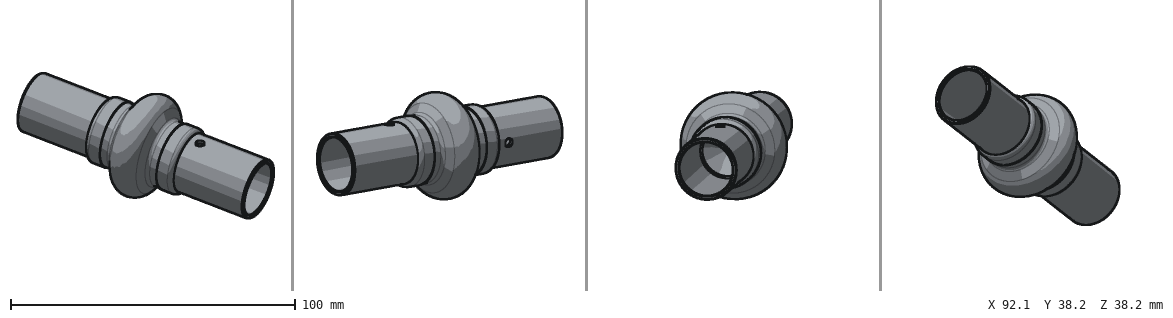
import cadquery as cq
import math

length = 92.1
bulb_radius = 19.1

tube_radius = 11.05
bore_radius = 9.6
bevel_height = 0.3
bevel_length = 0.5
drain_radius = 1.6
drain_distance = 22.2

collar_radius = 12.4
collar_start = 11.5
collar_end = 18.0
collar_round = 1.9

neck_radius = 12.2
crown_round = 6.35
crown_half_width = 5.4
neck_blend = 1.7
recess_radius = 8.75
recess_slope = math.radians(30)


def mirrored(point):
    """Reflect an outline point from the +X side to the -X side."""
    return (-point[0], point[1])


def revolved(outline):
    """Close an outline and revolve it about the X axis."""
    return outline.close().revolve(360, (0, 0, 0), (1, 0, 0))


def make_bulb():
    """Round bulb with a short neck on each side and a conical recess in each end."""
    tilt = math.asin(crown_half_width / crown_round)
    crown_top = (0, bulb_radius)
    crown_edge = (crown_half_width, bulb_radius - crown_round * (1 - math.cos(tilt)))
    cone_end_radius = neck_radius + neck_blend * (1 - math.cos(tilt))
    cone_end_x = crown_half_width + (crown_edge[1] - cone_end_radius) / math.tan(tilt)
    cone_end = (cone_end_x, cone_end_radius)
    neck_start = (cone_end_x + neck_blend * math.sin(tilt), neck_radius)
    blend_middle = (
        neck_start[0] - neck_blend * math.sin(tilt / 2),
        neck_radius + neck_blend * (1 - math.cos(tilt / 2)),
    )
    recess_tip_x = collar_start - recess_radius * math.tan(recess_slope)

    outline = (
        cq.Workplane("XY")
        .moveTo(-recess_tip_x, 0)
        .lineTo(-collar_start, recess_radius)
        .lineTo(-collar_start, neck_radius)
        .lineTo(*mirrored(neck_start))
        .threePointArc(mirrored(blend_middle), mirrored(cone_end))
        .lineTo(*mirrored(crown_edge))
        .threePointArc(crown_top, crown_edge)
        .lineTo(*cone_end)
        .threePointArc(blend_middle, neck_start)
        .lineTo(collar_start, neck_radius)
        .lineTo(collar_start, recess_radius)
        .lineTo(recess_tip_x, 0)
    )
    return revolved(outline)


def make_tube():
    """Tube on the +X side, bevelled inside and outside at its rim, with a drain hole on +Z."""
    rim_x = length / 2
    outline = (
        cq.Workplane("XY")
        .moveTo(collar_start, bore_radius)
        .lineTo(collar_start, tube_radius)
        .lineTo(rim_x - bevel_length, tube_radius)
        .lineTo(rim_x, tube_radius - bevel_height)
        .lineTo(rim_x, bore_radius + bevel_height)
        .lineTo(rim_x - bevel_length, bore_radius)
    )
    drain = (
        cq.Workplane("XY", origin=(drain_distance, 0, 0))
        .circle(drain_radius)
        .extrude(collar_radius)
    )
    return revolved(outline).cut(drain)


def make_collar():
    """Ring around the inner end of the +X tube, rounded on its outer edge."""
    collar_length = collar_end - collar_start
    base = cq.Workplane("YZ", origin=(collar_start, 0, 0))
    tube_opening = base.circle(tube_radius).extrude(collar_length)
    return (
        base.circle(collar_radius)
        .extrude(collar_length)
        .faces(">X")
        .edges()
        .fillet(collar_round)
        .cut(tube_opening)
    )


def moved_to_left(body):
    """Copy a +X body to the -X side, turned so that its +Z side faces +Y."""
    return body.rotate((0, 0, 0), (1, 0, 0), -90).mirror("YZ")


def make_pair(right_body):
    """The solids of a +X body and of its copy on the -X side."""
    return [body.val() for body in (right_body, moved_to_left(right_body))]


bulb = make_bulb()
tubes = make_pair(make_tube())
collars = make_pair(make_collar())

result = cq.Compound.makeCompound([bulb.val(), *tubes, *collars])